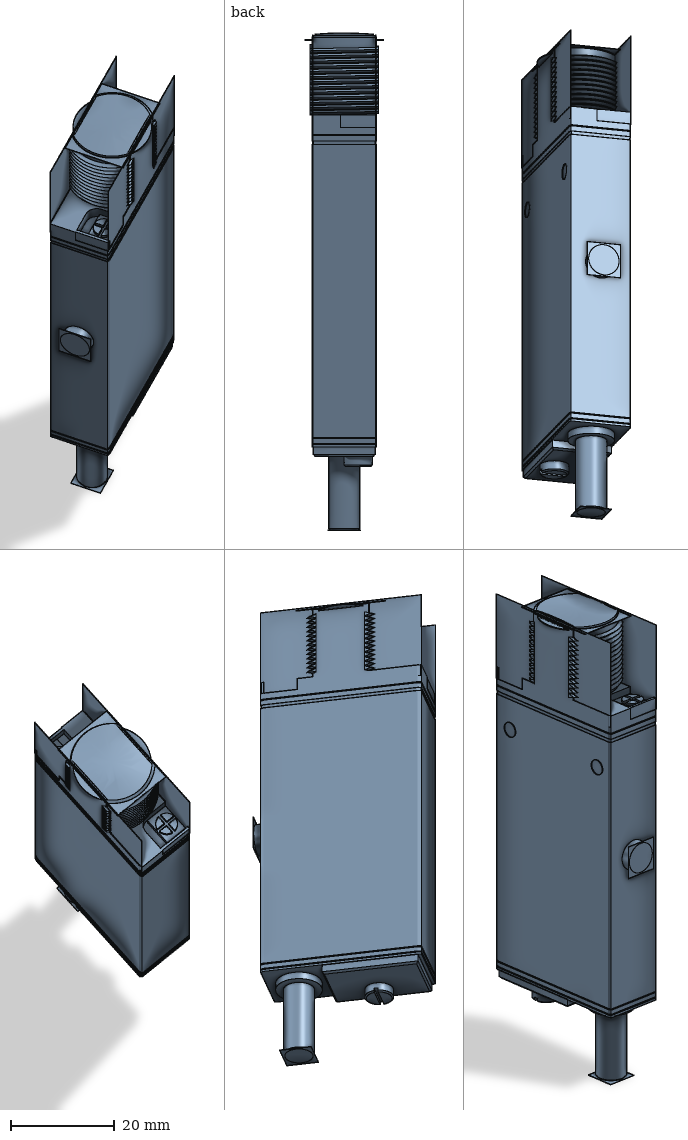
import cadquery as cq

total_height = 96.0

case_width = 12.4
case_depth = 31.9
case_bottom = 16.1
shoulder_z = 80.1
case_bevel_x = 0.2
case_bevel_y = 0.7
seam_depth = 0.1
cap_seams = [(74.5, 75.2), (76.2, 76.4), (17.8, 17.95), (16.6, 16.8)]

cheek_thickness = 0.1
cheek_inset = 0.05
cheek_top = 95.6

root_radius = 8.3
crest_radius = 9.0
barrel_top = 95.5
barrel_bevel_width = 0.6
barrel_bevel_height = 0.3
thread_length = 13.0
thread_turns = 13
ridge_base = 0.9
thread_bottom = 80.4
thread_flat_width = 13.2
thread_root_overlap = 0.1
rim_radius = 7.6
rim_top = 94.7
rim_thickness = 0.2
window_depth = 17.7
window_thickness = 0.1

pocket_floor = 77.7
pocket_end_wall = 0.7
pocket_mark_depth = 0.1
pocket_edge_x = 0.8
pocket_edge_y = 8.6
pocket_corner_radius = 2.3
trimmer_width = 4.6
trimmer_depth = 6.0
trimmer_x = 3.55
trimmer_y = 12.0
trimmer_height = 1.15
dial_radius = 2.1
dial_height = 0.6
dial_slot = 0.6

recess_radius = 1.5
recess_y = 12.1
recess_z = 68.05
recess_depth = 0.2

knob_radius = 3.1
knob_length = 2.1
knob_z = 48.9
knob_face_width = 6.7
sheet_thickness = 0.1

cover_width = 12.0
cover_depth = 19.0
cover_y = 5.8
cover_thickness = 1.8
cover_chamfer = 0.4
screw_radius = 2.8
screw_x = -2.7
screw_y = 5.6
screw_height = 1.9
screw_chamfer = 0.3
screw_slot = 0.8
bushing_radius = 4.5
bushing_height = 1.4

cable_diameter = 6.0
cable_y = -9.7
cable_chamfer = 0.4
cable_end_width = 6.2

half_width = case_width / 2
half_depth = case_depth / 2
thread_pitch = thread_length / thread_turns
cable_radius = cable_diameter / 2
cover_bottom = case_bottom - cover_thickness
lens_height = total_height - barrel_top
lens_radius = root_radius - barrel_bevel_width
lens_sphere_radius = (lens_radius**2 + lens_height**2) / (2 * lens_height)
lens_half_width = half_width - barrel_bevel_width


def box(width, depth, height, x, y, bottom):
    """Box centred on (x, y) and standing on the height 'bottom'."""
    return (
        cq.Workplane("XY", origin=(x, y, bottom))
        .box(width, depth, height, centered=(True, True, False))
    )


def cylinder(radius, height, x, y, bottom):
    """Upright cylinder standing on the height 'bottom'."""
    return cq.Workplane("XY", origin=(x, y, bottom)).circle(radius).extrude(height)


def bevelled_prism(inset, height, bottom):
    """Case cross-section, drawn in by 'inset' all round and extruded upward."""
    x = half_width - inset
    y = half_depth - inset
    inner_x = x - case_bevel_x
    inner_y = y - case_bevel_y
    outline = [
        (x, -inner_y), (x, inner_y), (inner_x, y), (-inner_x, y),
        (-x, inner_y), (-x, -inner_y), (-inner_x, -y), (inner_x, -y),
    ]
    return cq.Workplane("XY", origin=(0, 0, bottom)).polyline(outline).close().extrude(height)


def make_case():
    """Bevelled box with shallow seams where the end caps meet the middle."""
    case = bevelled_prism(0, shoulder_z - case_bottom, case_bottom)
    for low, high in cap_seams:
        band = bevelled_prism(0, high - low, low)
        case = case.cut(band.cut(bevelled_prism(seam_depth, high - low, low)))
    return case


def make_pocket():
    """Cutter for the +X, -Y pocket with one rounded inner corner, and its step on the end face."""
    width = half_width + pocket_edge_x
    depth = half_depth - pocket_edge_y - pocket_end_wall
    height = shoulder_z - pocket_floor
    x = half_width - width / 2
    pocket = box(width, depth, height, x, -pocket_edge_y - depth / 2, pocket_floor)
    pocket = pocket.edges("|Z and <X and >Y").fillet(pocket_corner_radius)
    mark_y = -half_depth + pocket_mark_depth / 2
    return pocket.union(box(width, pocket_mark_depth, height, x, mark_y, pocket_floor))


def make_trimmer():
    """Square trimmer with a cross-slotted dial, standing in the +X, -Y pocket."""
    dial_bottom = pocket_floor + trimmer_height
    base = box(trimmer_width, trimmer_depth, trimmer_height, trimmer_x, -trimmer_y, pocket_floor)
    dial = cylinder(dial_radius, dial_height, trimmer_x, -trimmer_y, dial_bottom)
    for width, depth in [(dial_slot, 2 * dial_radius), (2 * dial_radius, dial_slot)]:
        slot_bottom = dial_bottom + dial_height - dial_slot
        dial = dial.cut(box(width, depth, dial_slot, trimmer_x, -trimmer_y, slot_bottom))
    return base.union(dial)


def make_thread():
    """Helical V ridge, trimmed flat on both sides."""
    base_radius = root_radius - thread_root_overlap
    helix = cq.Wire.makeHelix(thread_pitch, thread_length, base_radius)
    half_base = ridge_base / 2
    ridge = (
        cq.Workplane("XZ")
        .moveTo(base_radius, -half_base)
        .lineTo(crest_radius, 0)
        .lineTo(base_radius, half_base)
        .close()
        .sweep(cq.Workplane(helix), isFrenet=True)
        .translate((0, 0, thread_bottom))
    )
    trim = box(thread_flat_width, 2 * crest_radius, barrel_top - shoulder_z, 0, 0, shoulder_z)
    return ridge.intersect(trim)


def make_lens():
    """Shallow spherical cap, trimmed to the flats of the barrel."""
    center_z = total_height - lens_sphere_radius
    sphere = cq.Workplane("XY", origin=(0, 0, center_z)).sphere(lens_sphere_radius)
    return sphere.intersect(box(2 * lens_half_width, 2 * lens_radius, lens_height, 0, 0, barrel_top))


def make_barrel():
    """Flat-sided cylinder with a bevelled top, thread, rim, window plate and domed lens."""
    height = barrel_top - shoulder_z
    core = cylinder(root_radius, height, 0, 0, shoulder_z)
    core = core.intersect(box(case_width, 2 * root_radius, height, 0, 0, shoulder_z))
    core = core.faces(">Z").edges().chamfer(barrel_bevel_height, barrel_bevel_width)

    rim = cylinder(rim_radius, rim_thickness, 0, 0, rim_top - rim_thickness)
    window_bottom = barrel_top - barrel_bevel_height - window_thickness
    window = box(case_width, window_depth, window_thickness, 0, 0, window_bottom)
    return core.union(make_thread()).union(rim).union(window).union(make_lens())


def make_cheek(side):
    """Thin sheet set just inside one X side of the case, rising from the pocket floor."""
    x = side * (half_width - cheek_inset - cheek_thickness / 2)
    return box(cheek_thickness, case_depth, cheek_top - pocket_floor, x, 0, pocket_floor)


def make_knob():
    """Round knob on the -Y side with a thin square face."""
    wall = cq.Workplane("XZ", origin=(0, -half_depth, knob_z))
    stem = wall.circle(knob_radius).extrude(knob_length)
    face = (
        wall.workplane(offset=knob_length - sheet_thickness)
        .rect(knob_face_width, knob_face_width)
        .extrude(sheet_thickness)
    )
    return stem.union(face)


def make_cover():
    """Access cover under the case, with a slotted screw head."""
    cover = box(cover_width, cover_depth, cover_thickness, 0, cover_y, cover_bottom)
    cover = cover.faces("<Z").edges().chamfer(cover_chamfer)
    head_bottom = cover_bottom - screw_height
    head = cylinder(screw_radius, screw_height, screw_x, screw_y, head_bottom)
    head = head.faces("<Z").edges().chamfer(screw_chamfer)
    head = head.cut(box(2 * screw_radius, screw_slot, screw_slot, screw_x, screw_y, head_bottom))
    return cover.union(head)


def make_housing():
    """Complete sensor housing, with the cable hole open through the bushing."""
    housing = make_case()
    for turn in (0, 180):
        housing = housing.cut(make_pocket().rotate((0, 0, 0), (0, 0, 1), turn))
        housing = housing.union(make_trimmer().rotate((0, 0, 0), (0, 0, 1), turn))
    housing = housing.union(make_barrel())
    for side in (-1, 1):
        housing = housing.union(make_cheek(side))
    recesses = (
        cq.Workplane("YZ", origin=(-half_width, 0, recess_z))
        .pushPoints([(-recess_y, 0), (recess_y, 0)])
        .circle(recess_radius)
        .extrude(recess_depth)
    )
    housing = housing.cut(recesses).union(make_knob()).union(make_cover())

    bushing = cylinder(bushing_radius, bushing_height, 0, cable_y, case_bottom - bushing_height)
    cable_hole = cylinder(cable_radius, bushing_height, 0, cable_y, case_bottom - bushing_height)
    return housing.union(bushing.cut(cable_hole))


def make_cable():
    """Cable from the underside of the case down to a bevelled end on a thin square sheet."""
    cable = cylinder(cable_radius, case_bottom, 0, cable_y, 0)
    cable = cable.faces("<Z").edges().chamfer(cable_chamfer)
    end_sheet = box(cable_end_width, cable_end_width, sheet_thickness, 0, cable_y, 0)
    return cable.union(end_sheet)


housing = make_housing()
cable = make_cable()

result = cq.Compound.makeCompound([housing.solids().val(), cable.solids().val()])